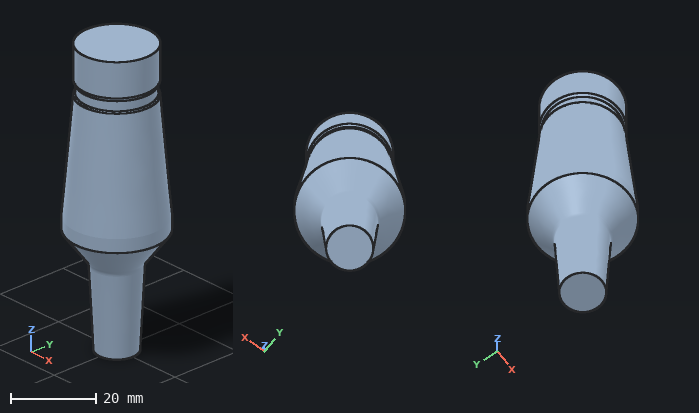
import cadquery as cq

total_length = 80.0
body_diameter = 26.0

shank_end_diameter = 11.0
shank_top_diameter = 13.3
shank_length = 22.2

blend_height = 1.5
blend_top_diameter = 14.4

band_bottom = 31.5
band_height = 3.6

body_top = 66.6
shoulder_height = 0.4

neck_diameter = 19.5
neck_top = 69.6
cap_diameter = 20.5
cap_bottom = 70.6

blend_top = shank_length + blend_height
band_top = band_bottom + band_height
neck_bottom = body_top + shoulder_height

profile = (
    cq.Workplane("XZ")
    .lineTo(shank_end_diameter / 2, 0)
    .lineTo(shank_top_diameter / 2, shank_length)
    .tangentArcPoint((blend_top_diameter / 2, blend_top), relative=False)
    .lineTo(body_diameter / 2, band_bottom)
    .lineTo(body_diameter / 2, band_top)
    .lineTo(cap_diameter / 2, body_top)
    .lineTo(neck_diameter / 2, neck_bottom)
    .lineTo(neck_diameter / 2, neck_top)
    .lineTo(cap_diameter / 2, cap_bottom)
    .lineTo(cap_diameter / 2, total_length)
    .lineTo(0, total_length)
    .close()
)

result = profile.revolve(360, (0, 0, 0), (0, 1, 0))